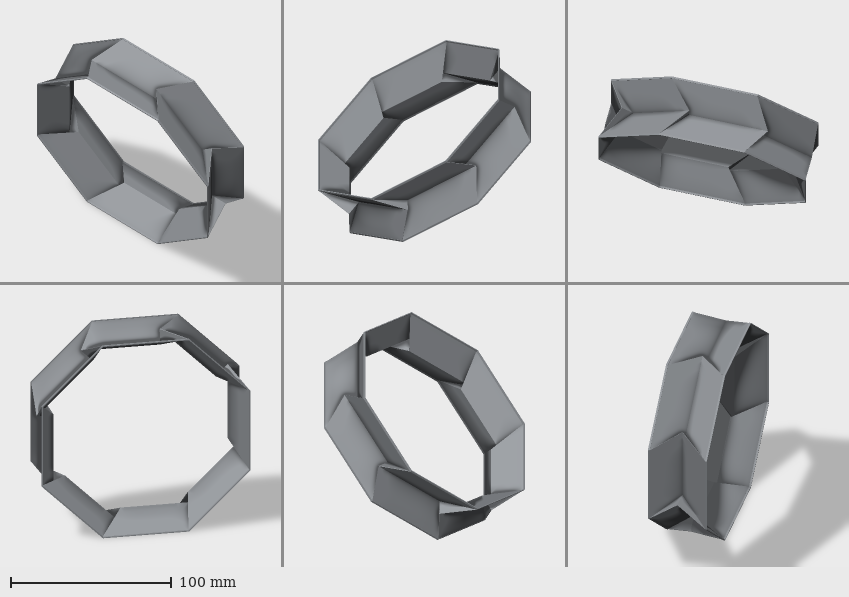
import cadquery as cq
import math

SIDES = 8
ACROSS_FLATS = 131.97
WIDTH = 38.4

RIM_THICKNESS = 0.6
RIM_WIDTH = 1.2

SHEET_INSET = 0.2
SHEET_THICKNESS = 0.35
RIDGE_HEIGHT = 11.06
FOLD_SETBACK = 14.65

TURN = 360 / SIDES
APOTHEM = ACROSS_FLATS / 2
EDGE_APOTHEM = APOTHEM - SHEET_INSET
EDGE_Y = WIDTH / 2 - RIM_WIDTH
HALF_SIDE = EDGE_APOTHEM * math.tan(math.radians(TURN / 2))
VALLEY_DEPTH = RIDGE_HEIGHT - SHEET_INSET - SHEET_THICKNESS
VALLEY_APOTHEM = EDGE_APOTHEM - VALLEY_DEPTH
VALLEY_OVERRUN = VALLEY_DEPTH / math.tan(math.radians(TURN))
CENTRE = cq.Vector(0, 0, 0)
Y_AXIS = cq.Vector(0, 1, 0)
INWARD = cq.Vector(0, 0, -SHEET_THICKNESS)


def octagon(apothem):
    """Octagon in the XZ plane with flats facing along X and Z."""
    corner_diameter = 2 * apothem / math.cos(math.radians(TURN / 2))
    return cq.Workplane("XZ").transformed(rotate=(0, 0, TURN / 2)).polygon(SIDES, corner_diameter)


def rim(y_start):
    """Octagonal ring that fills y_start to y_start + RIM_WIDTH."""
    outer = octagon(APOTHEM).extrude(-RIM_WIDTH)
    inner = octagon(APOTHEM - RIM_THICKNESS).extrude(-RIM_WIDTH)
    return outer.cut(inner).translate((0, y_start, 0))


def plate(points):
    """Flat facet of the top side, thickened towards the centre of the ring."""
    wire = cq.Wire.makePolygon([cq.Vector(*p) for p in points], close=True)
    return cq.Solid.extrudeLinear(wire, [], INWARD)


def turned_back(point):
    """Point of the top side moved to the same place on the side before it, towards -X."""
    x, y, z = point
    turn = math.radians(TURN)
    return (x * math.cos(turn) - z * math.sin(turn), y, x * math.sin(turn) + z * math.cos(turn))


def side_plates():
    """V-shaped trough of the top side, with the pleat that joins it to the side before it."""
    valley_start = (-HALF_SIDE - VALLEY_OVERRUN, 0, VALLEY_APOTHEM)
    valley_end = (HALF_SIDE - FOLD_SETBACK, 0, VALLEY_APOTHEM)
    previous_end = turned_back(valley_end)
    plates = []
    for edge_y in (-EDGE_Y, EDGE_Y):
        corner_start = (-HALF_SIDE, edge_y, EDGE_APOTHEM)
        corner_end = (HALF_SIDE, edge_y, EDGE_APOTHEM)
        plates.append(plate([corner_start, corner_end, valley_end, valley_start]))
        plates.append(plate([corner_start, valley_start, previous_end]))
    return plates


def pleated_ring():
    """All sides with their pleats, between the two rims."""
    ring = rim(-WIDTH / 2).union(rim(EDGE_Y))
    plates = side_plates()
    for index in range(SIDES):
        for side_plate in plates:
            ring = ring.union(side_plate.rotate(CENTRE, Y_AXIS, index * TURN))
    return ring


result = pleated_ring()